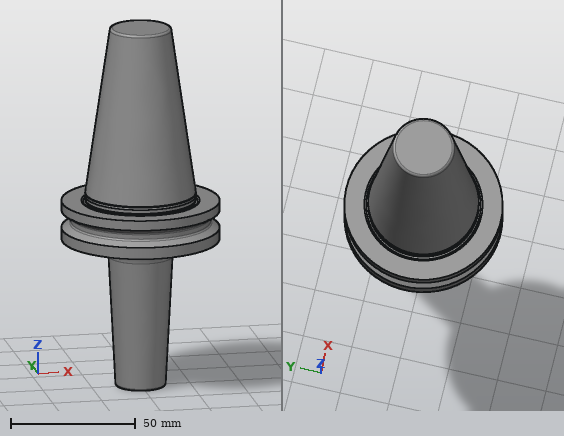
import cadquery as cq
import math

total_length = 148.4
end_fillet = 1.0

gauge_radius = 22.3
gauge_height = 80.0
taper_ratio = 7 / 24
top_radius = gauge_radius - (total_length - gauge_height) * taper_ratio / 2

neck_groove_radius = 22.0
neck_groove_height = 79.5
collar_top = 78.7
relief_radius = 23.7
relief_depth = 0.5
relief_bevel = 0.7

flange_radius = 31.8
flange_bottom = 60.8
flange_top = 76.7
groove_bottom = 65.6
groove_top = 72.7
groove_root_radius = 28.0
groove_wall_angle = 30.0
groove_root_fillet = 0.9
groove_wall_height = (flange_radius - groove_root_radius) * math.tan(math.radians(groove_wall_angle))

nose_tip_radius = 10.1
nose_half_angle = 3.0
nose_fillet = 7.4
nose_base_radius = nose_tip_radius + flange_bottom * math.tan(math.radians(nose_half_angle))


def revolve_outline(points):
    """Revolve a closed (radius, height) outline about the Z axis."""
    return cq.Workplane("XZ").polyline(points).close().revolve(360, (0, 0, 0), (0, 1, 0))


def edges_at_height(height):
    """Select the circular edges centred at one height."""
    tolerance = 0.01
    reach = total_length
    return cq.selectors.BoxSelector(
        (-reach, -reach, height - tolerance), (reach, reach, height + tolerance)
    )


body = revolve_outline([
    (0, 0),
    (nose_tip_radius, 0),
    (nose_base_radius, flange_bottom),
    (flange_radius, flange_bottom),
    (flange_radius, groove_bottom),
    (groove_root_radius, groove_bottom + groove_wall_height),
    (groove_root_radius, groove_top - groove_wall_height),
    (flange_radius, groove_top),
    (flange_radius, flange_top),
    (relief_radius, flange_top),
    (relief_radius - relief_bevel, flange_top - relief_depth),
    (neck_groove_radius, flange_top - relief_depth),
    (neck_groove_radius, flange_top),
    (gauge_radius, flange_top + relief_depth),
    (gauge_radius, collar_top),
    (neck_groove_radius, neck_groove_height),
    (gauge_radius, gauge_height),
    (top_radius, total_length),
    (0, total_length),
])

body = body.faces("<Z or >Z").edges().fillet(end_fillet)

for root_height in (groove_bottom + groove_wall_height, groove_top - groove_wall_height):
    body = body.edges(edges_at_height(root_height)).fillet(groove_root_fillet)

nose_corner = cq.selectors.RadiusNthSelector(0)
body = body.edges(edges_at_height(flange_bottom)).edges(nose_corner).fillet(nose_fillet)

result = body